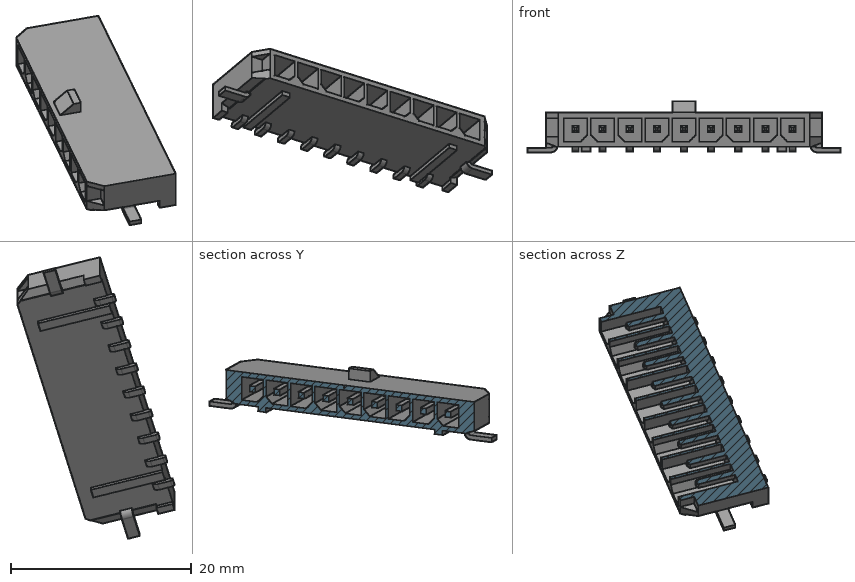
import cadquery as cq
OVERLAP = 0.17

housing_width = 30.55
housing_depth = 9.87
housing_bottom = 0.62
housing_top = 4.43
corner_width = 1.35
corner_depth = 1.63
corner_pocket_bottom = 1.75
bevel_width = 0.97
bevel_step_height = 0.1
bevel_height = 0.45

standoff_bottom = 0.1
foot_width = 0.8
foot_depth = 1.87
rib_width = 1.0
rib_center_x = 10.85

contact_span = 24.0
key_sides = [1, -1, -1, 1, 1, 1, -1, 1, -1]
cavity_size = 2.6
cavity_bottom = 1.2
cavity_depth = 6.93
key_chamfer = 0.73
contact_size = 0.73
contact_z = 2.6
contact_tip_y = 2.42
contact_taper_length = 0.28
contact_taper_inset = 0.25
tail_thickness = 0.62
tail_projection = 0.83
leg_front_y = 8.3

latch_width = 2.6
latch_front_y = 0.62
latch_ridge_y = 2.18
latch_back_y = 3.0
latch_top = 5.68

tab_span = 34.63
tab_front_y = 3.95
tab_width = 1.35
tab_leg_inset = 1.28
tab_thickness = 0.52
tab_bend_radius = 0.75
tab_leg_top = 1.73

half_width = housing_width / 2
tail_round_y = housing_depth + tail_projection - tail_thickness / 2
contact_pitch = contact_span / (len(key_sides) - 1)
cavity_top = cavity_bottom + cavity_size
tab_leg_inner_x = half_width - tab_leg_inset


def box(x_range, y_range, z_range):
    """Box between the given limits on each axis."""
    (x0, x1), (y0, y1), (z0, z1) = x_range, y_range, z_range
    return cq.Workplane("XY").box(x1 - x0, y1 - y0, z1 - z0, centered=False).translate((x0, y0, z0))


def both_ends(shape):
    """A shape at the +X end together with its mirror image at the -X end."""
    return shape.union(shape.mirror("YZ"))


def make_housing():
    """Block with cut front corners, stepped lower bevels and corner pockets."""
    outline = [
        (-half_width + corner_width, 0),
        (half_width - corner_width, 0),
        (half_width, corner_depth),
        (half_width, housing_depth),
        (-half_width, housing_depth),
        (-half_width, corner_depth),
    ]
    block = (
        cq.Workplane("XY")
        .workplane(offset=housing_bottom)
        .polyline(outline)
        .close()
        .extrude(housing_top - housing_bottom)
    )
    bevel = (
        cq.Workplane("XZ")
        .polyline([
            (half_width - bevel_width, housing_bottom + bevel_step_height),
            (half_width - bevel_width, housing_bottom),
            (half_width, housing_bottom),
            (half_width, housing_bottom + bevel_height),
        ])
        .close()
        .extrude(-(housing_depth - foot_depth))
    )
    corner_pocket = box(
        (half_width - corner_width, half_width),
        (0, corner_depth),
        (corner_pocket_bottom, cavity_top),
    )
    return block.cut(both_ends(bevel)).cut(both_ends(corner_pocket))


def make_standoffs():
    """Rear corner feet and long ribs that the housing stands on."""
    z_range = (standoff_bottom, housing_bottom + OVERLAP)
    foot = box((half_width - foot_width, half_width), (housing_depth - foot_depth, housing_depth), z_range)
    rib = box(
        (rib_center_x - rib_width / 2, rib_center_x + rib_width / 2),
        (corner_depth, housing_depth),
        z_range,
    )
    return both_ends(foot.union(rib))


def make_cavity(center_x, key_side):
    """Square cavity with one chamfered lower corner that keys the plug."""
    half = cavity_size / 2
    outline = [
        (-half, cavity_bottom),
        (half - key_chamfer, cavity_bottom),
        (half, cavity_bottom + key_chamfer),
        (half, cavity_top),
        (-half, cavity_top),
    ]
    placed = [(center_x + key_side * x, z) for x, z in outline]
    return cq.Workplane("XZ").polyline(placed).close().extrude(-cavity_depth)


def make_contact(center_x):
    """Tapered pin, then a leg down through the housing and a rounded solder tail."""
    half = contact_size / 2
    shank_front_y = contact_tip_y + contact_taper_length
    tip_size = contact_size - 2 * contact_taper_inset
    tip = (
        cq.Workplane("XZ", origin=(center_x, contact_tip_y, contact_z))
        .rect(tip_size, tip_size)
        .workplane(offset=-contact_taper_length)
        .rect(contact_size, contact_size)
        .loft(ruled=True)
    )
    x_range = (center_x - half, center_x + half)
    shank = box(x_range, (shank_front_y, leg_front_y + tail_thickness), (contact_z - half, contact_z + half))
    leg_and_tail = (
        cq.Workplane("YZ", origin=(center_x - half, 0, 0))
        .moveTo(leg_front_y, contact_z)
        .lineTo(leg_front_y, standoff_bottom + tail_thickness)
        .radiusArc((leg_front_y + tail_thickness, standoff_bottom), -tail_thickness)
        .lineTo(tail_round_y, standoff_bottom)
        .threePointArc(
            (housing_depth + tail_projection, standoff_bottom + tail_thickness / 2),
            (tail_round_y, standoff_bottom + tail_thickness),
        )
        .lineTo(leg_front_y + tail_thickness, standoff_bottom + tail_thickness)
        .lineTo(leg_front_y + tail_thickness, contact_z)
        .close()
        .extrude(contact_size)
    )
    return tip.union(shank).union(leg_and_tail)


def make_latch():
    """Ramped catch on top of the housing."""
    return (
        cq.Workplane("YZ")
        .polyline([
            (latch_front_y, housing_top),
            (latch_ridge_y, latch_top),
            (latch_back_y, latch_top),
            (latch_back_y, housing_top - OVERLAP),
            (latch_front_y, housing_top - OVERLAP),
        ])
        .close()
        .extrude(latch_width / 2, both=True)
    )


def make_tabs():
    """Flat tabs that bend up into the housing near each end."""
    inner_radius = tab_bend_radius - tab_thickness
    bend_x = tab_leg_inner_x + tab_bend_radius
    tab = (
        cq.Workplane("XZ", origin=(0, tab_front_y, 0))
        .moveTo(tab_span / 2, 0)
        .lineTo(bend_x, 0)
        .radiusArc((tab_leg_inner_x, tab_bend_radius), tab_bend_radius)
        .lineTo(tab_leg_inner_x, tab_leg_top)
        .lineTo(tab_leg_inner_x + tab_thickness, tab_leg_top)
        .lineTo(tab_leg_inner_x + tab_thickness, tab_bend_radius)
        .radiusArc((bend_x, tab_thickness), -inner_radius)
        .lineTo(tab_span / 2, tab_thickness)
        .close()
        .extrude(-tab_width)
    )
    return both_ends(tab)


result = make_housing().union(make_standoffs()).union(make_latch()).union(make_tabs())

for index, key_side in enumerate(key_sides):
    contact_x = -contact_span / 2 + index * contact_pitch
    result = result.cut(make_cavity(contact_x, key_side)).union(make_contact(contact_x))